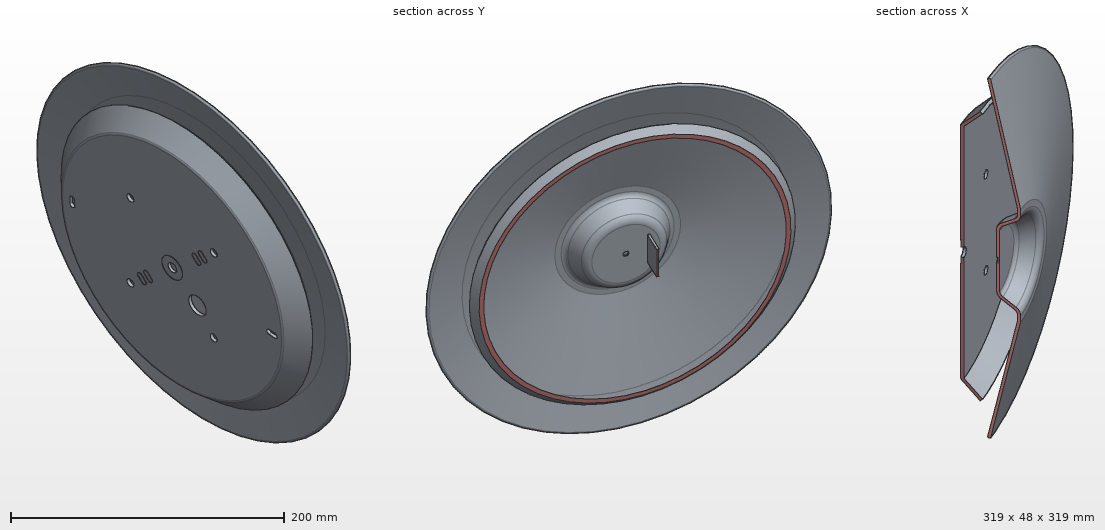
import cadquery as cq
import math

SHEET = 3.0
DEPTH = 48.0
BACK_Y = DEPTH / 2
FRONT_Y = -DEPTH / 2

DISH_RADIUS = 159.5
DISH_FLOOR_RADIUS = 49.5
DISH_BAND_RADIUS = 129.3
DISH_BAND_Y = 3.8
RIM_FRONT_Y = -2.5
RIM_RADIUS = SHEET / 2

DOME_HEIGHT = 16.5
DOME_TOP_RADIUS = 31.3
DOME_WALL_ANGLE = 58.0
DOME_BEND_RADIUS = 8.0
DIMPLE_RADIUS = 2.2
DIMPLE_DEPTH = 1.3

PAN_RADIUS = 128.3
PAN_RIM_Y = -8.3
PAN_SLOPE = 45.0
PAN_CORNER_RADIUS = 2.5

SCREW_HOLE_DIAMETER = 7.0
SCREW_HOLE_SPACING = 85.0
CABLE_HOLE_DIAMETER = 18.0
CABLE_HOLE_X = 26.0
CABLE_HOLE_Z = -20.7
CENTER_HOLE_DIAMETER = 8.5
SLOT_LENGTH = 10.5
SLOT_WIDTH = 4.8
MOUNT_SLOT_RADIUS = 101.8

RECESS_DEPTH = 0.3
CENTER_RECESS_DIAMETER = 21.0
RECESS_SLOT_RADII = (34.8, 43.7)
RECESS_SLOT_DIRECTIONS = (45.0, 225.0)

PLATE_X = 18.0
PLATE_THICKNESS = 2.0
PLATE_WIDTH = 26.5

FLOOR_Y = BACK_Y - SHEET
DOME_Y = FLOOR_Y - DOME_HEIGHT
PAN_BACK_Y = FRONT_Y + SHEET


def revolve_about_y(profile):
    """Turn a closed profile in the YZ plane, z being the radius, once around the Y axis.

    Profile points are therefore (y, radius).
    """
    return profile.close().revolve(360, (0, 0, 0), (1, 0, 0))


def polar(center, radius, degrees):
    """Point at the given distance and angle from a center."""
    angle = math.radians(degrees)
    return (center[0] + radius * math.cos(angle), center[1] + radius * math.sin(angle))


def miter_shift(slope):
    """Radial shift between front and back corner where a flat sheet bends to the given slope."""
    return SHEET * math.tan(math.radians(slope) / 2)


def toward(start, end, distance):
    """Point at the given distance from start on the way to end."""
    share = distance / math.dist(start, end)
    return (start[0] + share * (end[0] - start[0]), start[1] + share * (end[1] - start[1]))


def round_corner(path, before, corner, after, radius):
    """Draw a line to the corner, then an arc of the given radius that is tangent to both sides."""
    direction_in = math.atan2(corner[1] - before[1], corner[0] - before[0])
    direction_out = math.atan2(after[1] - corner[1], after[0] - corner[0])
    half_turn = abs(math.remainder(direction_out - direction_in, math.tau)) / 2
    trim = radius * math.tan(half_turn)
    arc_start = toward(corner, before, trim)
    arc_end = toward(corner, after, trim)
    chord_middle = ((arc_start[0] + arc_end[0]) / 2, (arc_start[1] + arc_end[1]) / 2)
    arc_middle = toward(corner, chord_middle, radius / math.cos(half_turn) - radius)
    return path.lineTo(*arc_start).threePointArc(arc_middle, arc_end)


def make_dish():
    """Shallow cone of sheet with a rounded rim and a forward dome in its flat floor."""
    rim_center = (RIM_FRONT_Y + RIM_RADIUS, DISH_RADIUS - RIM_RADIUS)
    run = rim_center[1] - DISH_FLOOR_RADIUS
    rise = FLOOR_Y - rim_center[0]
    slope = math.degrees(math.atan2(rise, run) + math.asin(RIM_RADIUS / math.hypot(run, rise)))
    rim_start = polar(rim_center, RIM_RADIUS, 180 + slope)
    rim_end = polar(rim_center, RIM_RADIUS, slope)
    rim_tip = polar(rim_center, RIM_RADIUS, 90)
    floor_front = (FLOOR_Y, DISH_FLOOR_RADIUS)
    floor_back = (BACK_Y, DISH_FLOOR_RADIUS + miter_shift(slope))

    dome_base_radius = DOME_TOP_RADIUS + DOME_HEIGHT / math.tan(math.radians(DOME_WALL_ANGLE))
    dome_shift = miter_shift(DOME_WALL_ANGLE)
    dimple_edge = (DOME_Y, DIMPLE_RADIUS)
    top_front = (DOME_Y, DOME_TOP_RADIUS)
    base_front = (FLOOR_Y, dome_base_radius)
    base_back = (BACK_Y, dome_base_radius - dome_shift)
    top_back = (DOME_Y + SHEET, DOME_TOP_RADIUS - dome_shift)
    top_back_center = (DOME_Y + SHEET, 0)
    inside_bend = DOME_BEND_RADIUS - SHEET

    path = cq.Workplane("YZ").moveTo(DOME_Y + DIMPLE_DEPTH, 0)
    path = path.lineTo(DOME_Y + DIMPLE_DEPTH, DIMPLE_RADIUS).lineTo(*dimple_edge)
    path = round_corner(path, dimple_edge, top_front, base_front, DOME_BEND_RADIUS)
    path = round_corner(path, top_front, base_front, floor_front, inside_bend)
    path = path.lineTo(*floor_front).lineTo(DISH_BAND_Y, DISH_BAND_RADIUS).lineTo(*rim_start)
    path = path.threePointArc(polar(rim_center, RIM_RADIUS, 135 + slope / 2), rim_tip)
    path = path.threePointArc(polar(rim_center, RIM_RADIUS, 45 + slope / 2), rim_end)
    path = path.lineTo(*floor_back)
    path = round_corner(path, floor_back, base_back, top_back, DOME_BEND_RADIUS)
    path = round_corner(path, base_back, top_back, top_back_center, inside_bend)
    return revolve_about_y(path.lineTo(*top_back_center))


def make_pan():
    """Shallow tray of sheet with a flaring flank, pierced and recessed in its front wall."""
    corner_radius = PAN_RADIUS - (PAN_RIM_Y - FRONT_Y) / math.tan(math.radians(PAN_SLOPE))
    front_center = (FRONT_Y, 0)
    rim_front = (PAN_RIM_Y, PAN_RADIUS)
    rim_back = polar(rim_front, SHEET, -PAN_SLOPE)
    path = cq.Workplane("YZ").moveTo(*front_center)
    path = round_corner(path, front_center, (FRONT_Y, corner_radius), rim_front, PAN_CORNER_RADIUS)
    path = path.lineTo(*rim_front).lineTo(*rim_back)
    path = path.lineTo(PAN_BACK_Y, corner_radius - miter_shift(PAN_SLOPE)).lineTo(PAN_BACK_Y, 0)
    pan = revolve_about_y(path)

    front = cq.Workplane("XZ", origin=(0, FRONT_Y, 0))
    screw_square = front.rect(SCREW_HOLE_SPACING, SCREW_HOLE_SPACING, forConstruction=True)
    openings = (
        screw_square.vertices().circle(SCREW_HOLE_DIAMETER / 2).extrude(-SHEET),
        front.circle(CENTER_HOLE_DIAMETER / 2).extrude(-SHEET),
        front.center(CABLE_HOLE_X, CABLE_HOLE_Z).circle(CABLE_HOLE_DIAMETER / 2).extrude(-SHEET),
        front.center(-MOUNT_SLOT_RADIUS, 0).slot2D(SLOT_LENGTH, SLOT_WIDTH, 90).extrude(-SHEET),
        front.center(MOUNT_SLOT_RADIUS, 0).slot2D(SLOT_LENGTH, SLOT_WIDTH, 0).extrude(-SHEET),
    )
    for opening in openings:
        pan = pan.cut(opening)

    pan = pan.cut(front.circle(CENTER_RECESS_DIAMETER / 2).extrude(-RECESS_DEPTH))
    for direction in RECESS_SLOT_DIRECTIONS:
        for radius in RECESS_SLOT_RADII:
            place = polar((0, 0), radius, direction)
            slot = front.center(*place).slot2D(SLOT_LENGTH, SLOT_WIDTH, direction + 90)
            pan = pan.cut(slot.extrude(-RECESS_DEPTH))
    return pan


def make_plate():
    """Thin upright plate that stands on the dome and reaches the back of the pan's front wall."""
    length = DOME_Y - PAN_BACK_Y
    middle_y = (DOME_Y + PAN_BACK_Y) / 2
    return cq.Workplane("XY").box(PLATE_THICKNESS, length, PLATE_WIDTH).translate((PLATE_X, middle_y, 0))


dish = make_dish()
pan = make_pan()
plate = make_plate()
result = cq.Compound.makeCompound([dish.val(), pan.val(), plate.val()])